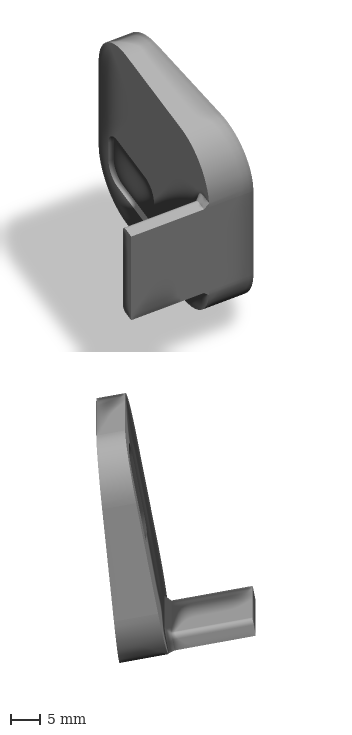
import cadquery as cq
import math

side = 40.0
corner_radius = 10.0
thin_edge = 5.0
back_slope = 5.0
thick_edge = thin_edge + side * math.tan(math.radians(back_slope))

tab_length = 15.0
tab_thickness = 3.0
tab_height = 20.0
tab_edge_radius = 1.0
flare = 1.0

pocket_width = 16.4
pocket_height = 11.0
pocket_radius = 3.2
pocket_depth = 1.0
pocket_from_left = 3.6
pocket_from_bottom = 5.9

half = side / 2


def rounded_bar(width, height, radius, length, taper=0):
    """Bar along -Y from y = 0, centred on the Y axis, with rounded long edges."""
    outline = cq.Sketch().rect(width, height).vertices().fillet(radius)
    return cq.Workplane("XZ").placeSketch(outline).extrude(length, taper=taper)


def wedge_plate():
    wedge = (
        cq.Workplane("XY")
        .polyline([(-half, 0), (half, 0), (half, thick_edge), (-half, thin_edge)])
        .close()
        .extrude(half, both=True)
    )
    outline = rounded_bar(side, side, corner_radius, -thick_edge)
    return wedge.intersect(outline)


def tab():
    blade = rounded_bar(2 * tab_thickness, tab_height, tab_edge_radius, tab_length)
    root = rounded_bar(
        2 * (tab_thickness + flare),
        tab_height + 2 * flare,
        tab_edge_radius + flare,
        flare,
        taper=45,
    )
    inner_side = cq.Workplane("XY").box(side, 2 * tab_length, side).translate((-half, 0, 0))
    return blade.union(root).intersect(inner_side).translate((half, 0, 0))


def pocket():
    center_x = -half + pocket_from_left + pocket_width / 2
    center_z = -half + pocket_from_bottom + pocket_height / 2
    cutter = rounded_bar(pocket_width, pocket_height, pocket_radius, -pocket_depth)
    return cutter.translate((center_x, 0, center_z))


result = wedge_plate().union(tab()).cut(pocket())